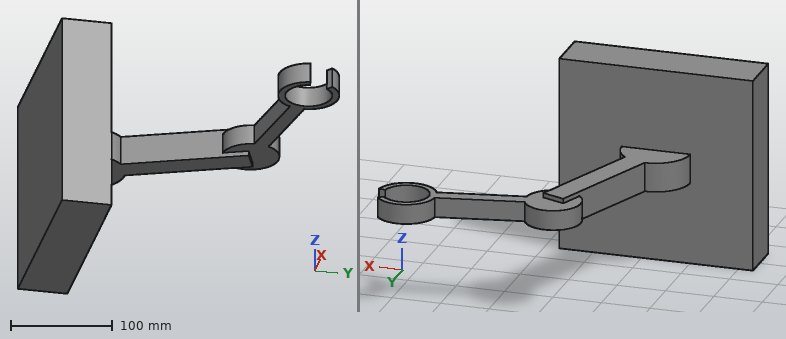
import cadquery as cq
import math

base_side = 200.0
base_depth = 50.0

lower_height = 30.0
hub_radius = 35.5
lower_bar_length = 160.2
lower_bar_width = 25.0
lower_angle = 68.7

upper_height = 20.5
elbow_radius = 28.5
upper_bar_width = 15.2
reach = 145.7
upper_angle = 10.5
ring_radius = 30.0
ring_inner_radius = 23.2
gap_start_angle = -9.0
gap_end_angle = 38.0


def polar(center, radius, angle):
    """Point at a distance and an angle in degrees from a centre."""
    turn = math.radians(angle)
    return center[0] + radius * math.cos(turn), center[1] + radius * math.sin(turn)


hub_center = (0, 0)
elbow_center = polar(hub_center, lower_bar_length, lower_angle)
ring_center = polar(elbow_center, reach, upper_angle)


def disc(center, radius, height):
    """Upright disc centred on the plane Z = 0."""
    return cq.Workplane("XY").center(*center).circle(radius).extrude(height / 2, both=True)


def bar(start, length, width, height, angle):
    """Straight bar from a start point, centred on the plane Z = 0."""
    straight = cq.Workplane("XY").box(length, width, height, centered=(False, True, True))
    return straight.rotate((0, 0, 0), (0, 0, 1), angle).translate((*start, 0))


def make_base():
    return cq.Workplane("XY").box(base_side, base_depth, base_side).translate((0, -base_depth / 2, 0))


def make_lower_arm(base):
    hub = disc(hub_center, hub_radius, lower_height)
    arm_bar = bar(hub_center, lower_bar_length, lower_bar_width, lower_height, lower_angle)
    elbow_slot = disc(elbow_center, elbow_radius, upper_height)
    return hub.union(arm_bar).cut(base).cut(elbow_slot)


def make_upper_arm():
    elbow = disc(elbow_center, elbow_radius, upper_height)
    arm_bar = bar(elbow_center, reach, upper_bar_width, upper_height, upper_angle)
    ring = disc(ring_center, ring_radius, upper_height)
    bore = disc(ring_center, ring_inner_radius, upper_height)

    wedge_reach = 2 * ring_radius
    gap = (
        cq.Workplane("XY")
        .polyline([
            ring_center,
            polar(ring_center, wedge_reach, gap_start_angle),
            polar(ring_center, wedge_reach, gap_end_angle),
        ])
        .close()
        .extrude(upper_height / 2, both=True)
    )
    return elbow.union(arm_bar).union(ring).cut(bore).cut(gap)


base = make_base()
lower_arm = make_lower_arm(base)
upper_arm = make_upper_arm()

result = cq.Compound.makeCompound([base.val(), lower_arm.solids().val(), upper_arm.solids().val()])